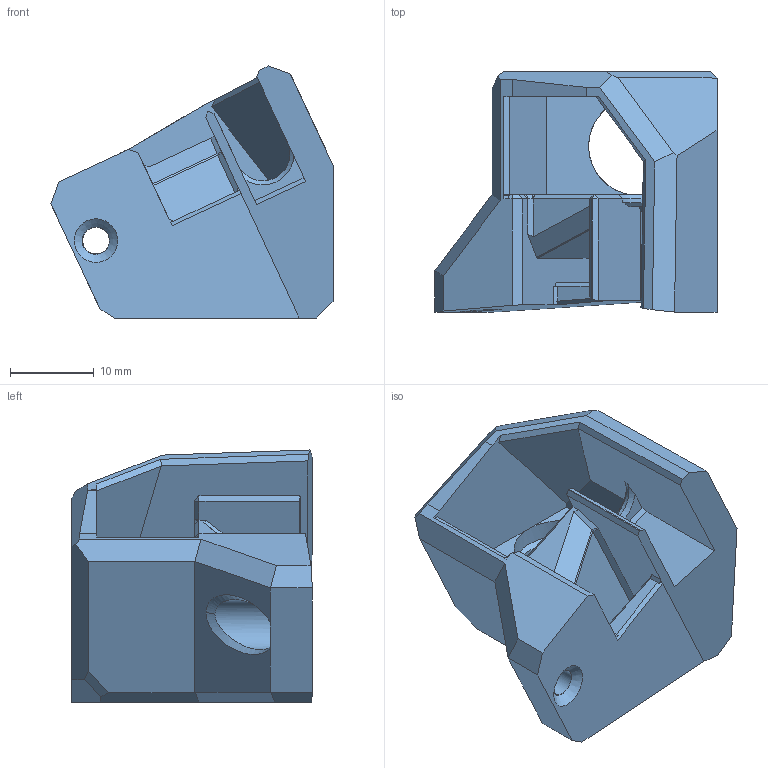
import cadquery as cq
import math

TILT = 25.0
SIN = math.sin(math.radians(TILT))
COS = math.cos(math.radians(TILT))
UP = (SIN, 0, COS)
DOWN = (-SIN, 0, -COS)
EAST = (COS, 0, -SIN)
FAR = 120.0
LOW = -25.0
HIGH = 25.0

DEPTH = 28.75
EAR_X = 5.78
EAR_DEPTH = 5.0
LEFT_X = 13.3
RIGHT_X = 38.28
SIDE_X = 33.72
STEP_Y = 14.04
DECK = 14.35
EDGE = 2.0
CORNER_EDGE = 1.7
FOOT_EDGE = 1.22
BACK_EDGE = 0.75
BACK_TOP_EDGE = 0.95
FOOT_NORMAL = (-0.73, 0.52, -0.45)
FOOT_CORNER_Z = -4.2
SMALL = 0.5

VALLEY_X = 26.9
VALLEY_Y = 1.57
LEFT_SLOPE = VALLEY_Y / (VALLEY_X - EAR_X)
RIGHT_SLOPE = VALLEY_Y / (RIGHT_X - VALLEY_X)

SLOPE_X = 16.9
BACK_RIM_X = 27.1
RIM_FRONT = 16.32
RIM_FALL = 0.038
BACK_RIM = 15.3
RIM_FLARE = 0.6

WALL = 3.0
CHAMBER_X = LEFT_X + WALL
CHAMBER_Y = DEPTH - WALL
INNER_RIGHT_X = 34.5
INNER_SIDE_X = 30.6
CHAMBER_FLOOR = 10.05
CORNER_TURN = 40.0
CORNER_LEAN = 0.269
OUTER_CORNER_Y = 18.7
INNER_CORNER_Y = 18.04
OUTER_CORNER = (RIGHT_X, OUTER_CORNER_Y, RIM_FRONT - RIM_FALL * OUTER_CORNER_Y - EDGE)
INNER_CORNER = (INNER_RIGHT_X, INNER_CORNER_Y, RIM_FRONT - RIM_FALL * INNER_CORNER_Y - RIM_FLARE)

CHANNEL_X = 17.8
RIB_X = VALLEY_X
RIB_WIDTH = 1.1
RIB_TOP = 14.4
POCKET_X = RIB_X + RIB_WIDTH
POCKET_FLOOR = 1.9
SADDLE_Y = 12.6
SADDLE_R = (INNER_RIGHT_X - POCKET_X) / 2
SADDLE_X = POCKET_X + SADDLE_R
SADDLE_Z = 7.1
LIP_TOP = 4.3
LIP_BACK = 3.6
LIP_EDGE = 0.4
BLOCK_TOP = 11.4
BLOCK_EDGE = 2.1
BLOCK_BREAK = 0.12
BLOCK_Y = 6.45
BLOCK_TURN = 26.0
FILLER_X = 26.27

SCREW_X, SCREW_Z = 8.8, 6.1
SCREW_D = 3.2
SCREW_HEAD_D = 5.2
SCREW_BORE_D = 6.0
SCREW_BORE_EDGE = 0.6
NOZZLE_D = 11.75
GROOVE_TOP = 7.8
GROOVE_HEIGHT = 1.0
GROOVE_DEPTH = 1.9
NOZZLE_X, NOZZLE_Y = 24.25, 19.85


def unit(v):
    size = math.sqrt(sum(c * c for c in v))
    return tuple(c / size for c in v)


def between(a, b):
    """Normal of an equal-leg chamfer between faces with normals a and b."""
    return unit([p + q for p, q in zip(unit(a), unit(b))])


def opposite(v):
    return tuple(-c for c in v)


def beyond(point, normal):
    """Everything on the side of a plane that its normal points to."""
    return cq.Workplane(cq.Plane(origin=point, normal=normal)).rect(2 * FAR, 2 * FAR).extrude(FAR)


def box(x0, x1, y0, y1, z0, z1):
    return cq.Workplane("XY").box(x1 - x0, y1 - y0, z1 - z0, centered=False).translate((x0, y0, z0))


def along_y(points, y0, y1):
    """Prism of an x-z outline from y0 to y1."""
    return cq.Workplane("XZ", origin=(0, y0, 0)).polyline(points).close().extrude(y0 - y1)


def along_z(points, z0, z1):
    """Prism of an x-y outline from z0 to z1."""
    return cq.Workplane("XY", origin=(0, 0, z0)).polyline(points).close().extrude(z1 - z0)


def along_x(points, x0, x1):
    """Prism of a y-z outline from x0 to x1."""
    return cq.Workplane("YZ", origin=(x0, 0, 0)).polyline(points).close().extrude(x1 - x0)


def left_front_y(x):
    return VALLEY_Y - LEFT_SLOPE * (VALLEY_X - x)


def right_front_y(x):
    return VALLEY_Y - RIGHT_SLOPE * (x - VALLEY_X)


turn = math.radians(CORNER_TURN)
CORNER_OUT = unit((math.cos(turn), math.sin(turn), CORNER_LEAN * math.sin(turn)))
CORNER_IN = opposite(CORNER_OUT)
RIM_UP = unit((0, RIM_FALL, 1))


def left_edges(z0, z1):
    """Selects the edges along the left side, short of the back corner, between two heights."""
    return cq.selectors.BoxSelector((0, -EDGE, z0), (LEFT_X + SMALL, DEPTH - EDGE, z1))


def outer_body():
    plan = [
        (EAR_X, -EDGE),
        (EAR_X, EAR_DEPTH),
        (LEFT_X, STEP_Y),
        (LEFT_X, DEPTH - EDGE),
        (LEFT_X + EDGE, DEPTH),
        (RIGHT_X, DEPTH),
        (RIGHT_X, -EDGE),
    ]
    body = along_z(plan, LOW, DECK)
    body = body.edges(left_edges(DECK - SMALL, DECK + SMALL)).chamfer(EDGE)
    body = body.cut(beyond((0, 0, 0), DOWN))
    across_bottom = cq.selectors.PerpendicularDirSelector(cq.Vector(*UP))
    return body.edges(across_bottom).edges(left_edges(LOW, 0)).chamfer(FOOT_EDGE)


def rim():
    plan = [(SLOPE_X, -EDGE), (SLOPE_X, DEPTH), (RIGHT_X, DEPTH), (RIGHT_X, -EDGE)]
    raised = along_z(plan, DECK - 2 * EDGE, HIGH)
    climb = [(SLOPE_X, DECK), (BACK_RIM_X, BACK_RIM), (BACK_RIM_X, HIGH), (SLOPE_X, HIGH)]
    raised = raised.cut(along_y(climb, -EDGE, DEPTH))
    return raised.cut(beyond((0, 0, RIM_FRONT), RIM_UP))


def bevel_outside(body):
    body = body.cut(beyond(OUTER_CORNER, CORNER_OUT))
    body = body.cut(beyond((SIDE_X * COS, 0, -SIDE_X * SIN), EAST))
    body = body.cut(beyond((RIGHT_X, 0, RIM_FRONT - EDGE), between((1, 0, 0), RIM_UP)))
    corner_top = (RIGHT_X, OUTER_CORNER_Y, OUTER_CORNER[2] + EDGE - CORNER_EDGE)
    body = body.cut(beyond(corner_top, between(CORNER_OUT, RIM_UP)))
    body = body.cut(beyond((0, DEPTH, DECK - BACK_TOP_EDGE), between((0, 1, 0), (0, 0, 1))))
    corner_back_x = RIGHT_X - (DEPTH - BACK_EDGE - OUTER_CORNER_Y) * math.tan(turn)
    corner_back = (corner_back_x, DEPTH - BACK_EDGE, OUTER_CORNER[2])
    body = body.cut(beyond(corner_back, between(CORNER_OUT, (0, 1, 0))))
    side_back = (SIDE_X * COS, DEPTH - BACK_EDGE, -SIDE_X * SIN)
    body = body.cut(beyond(side_back, between(EAST, (0, 1, 0))))
    side_foot = (SIDE_X * COS + EDGE * SIN, 0, -SIDE_X * SIN + EDGE * COS)
    body = body.cut(beyond(side_foot, between(EAST, DOWN)))
    body = body.cut(beyond((LEFT_X + EDGE, DEPTH, FOOT_CORNER_Z), FOOT_NORMAL))
    foot_bevel = (LEFT_X, DEPTH - EDGE, FOOT_CORNER_Z + EDGE)
    behind_ear = box(0, RIGHT_X, STEP_Y, DEPTH, LOW, HIGH)
    return body.cut(beyond(foot_bevel, between((-1, 0, 0), FOOT_NORMAL)).intersect(behind_ear))


def cut_front_panel(body):
    left, right = 0, RIGHT_X + EDGE
    outside = -3 * EDGE
    plan = [
        (left, left_front_y(left)),
        (VALLEY_X, VALLEY_Y),
        (right, right_front_y(right)),
        (right, outside),
        (left, outside),
    ]
    return body.cut(along_z(plan, LOW, HIGH))


def chamber():
    space = box(CHAMBER_X, RIGHT_X, STEP_Y, CHAMBER_Y, LOW, HIGH)
    space = space.intersect(beyond(INNER_CORNER, CORNER_IN))
    space = space.cut(beyond((CHAMBER_FLOOR * SIN, 0, CHAMBER_FLOOR * COS), DOWN))
    space = space.cut(beyond((INNER_SIDE_X * COS, 0, -INNER_SIDE_X * SIN), EAST))
    return space.cut(beyond((INNER_RIGHT_X, 0, 0), (1, 0, 0)))


def rim_flare():
    """Widens the opening at the rim along the right wall and the corner wall."""
    flare = box(BACK_RIM_X, RIGHT_X, -EDGE, CHAMBER_Y, RIB_TOP, HIGH)
    flare = flare.intersect(beyond(INNER_CORNER, between((-1, 0, 0), RIM_UP)))
    return flare.intersect(beyond(INNER_CORNER, between(CORNER_IN, RIM_UP)))


def left_wall_bevel():
    outline = [
        (CHAMBER_X - SMALL, DECK),
        (CHAMBER_X, DECK - SMALL),
        (CHAMBER_X, HIGH),
        (CHAMBER_X - SMALL, HIGH),
    ]
    return along_y(outline, STEP_Y - SMALL, CHAMBER_Y)


def opening_outline():
    """Open area above the left wall, the block, the rib and the saddle."""
    return (
        cq.Workplane("XZ", origin=(0, STEP_Y - SMALL, 0))
        .moveTo(CHAMBER_X, HIGH)
        .lineTo(CHAMBER_X, DECK)
        .lineTo(SLOPE_X, DECK)
        .lineTo(CHANNEL_X, DECK - (CHANNEL_X - SLOPE_X))
        .lineTo(CHANNEL_X, BLOCK_TOP + SMALL)
        .lineTo(CHANNEL_X + SMALL, BLOCK_TOP)
        .lineTo(RIB_X, BLOCK_TOP)
        .lineTo(RIB_X, RIB_TOP - SMALL)
        .lineTo(RIB_X + SMALL, RIB_TOP)
        .lineTo(POCKET_X - SMALL, RIB_TOP)
        .lineTo(POCKET_X, RIB_TOP - SMALL)
        .lineTo(POCKET_X, SADDLE_Z)
        .threePointArc((SADDLE_X, SADDLE_Z - SADDLE_R), (INNER_RIGHT_X, SADDLE_Z))
        .lineTo(INNER_RIGHT_X, HIGH)
        .close()
    )


def front_opening():
    """Opening in front of the chamber, flared where it enters the chamber."""
    opening = opening_outline().extrude(STEP_Y - SMALL + EDGE)
    flare = opening_outline().extrude(-SMALL, taper=-45)
    return opening.union(flare.cut(beyond((INNER_RIGHT_X, 0, 0), (1, 0, 0))))


def block():
    """Skewed block behind the channel, with a corner filler against the rib."""
    turn_in = math.radians(BLOCK_TURN)
    front = (math.sin(turn_in), -math.cos(turn_in), 0)
    filler = between(front, (-1, 0, 0))
    filler_y = BLOCK_Y + (FILLER_X - CHANNEL_X) * math.tan(turn_in)
    bevel_z = BLOCK_TOP - BLOCK_EDGE
    solids = []
    faces = (
        (front, (CHANNEL_X, BLOCK_Y, bevel_z)),
        (filler, (FILLER_X, filler_y, bevel_z)),
    )
    for normal, point in faces:
        body = beyond(point, opposite(normal))
        bevel = between(normal, (0, 0, 1))
        below = (point[0], point[1], bevel_z - BLOCK_BREAK)
        solids.append(body.cut(beyond(point, bevel)).cut(beyond(below, between(normal, bevel))))
    return solids[0].union(solids[1])


def lip():
    profile = [
        (-EDGE, LOW),
        (-EDGE, LIP_TOP),
        (LIP_BACK - SMALL, LIP_TOP),
        (LIP_BACK, LIP_TOP - SMALL),
        (LIP_BACK, LOW),
    ]
    body = along_x(profile, CHANNEL_X, RIB_X)
    front_edge = (CHANNEL_X, left_front_y(CHANNEL_X), LIP_TOP - LIP_EDGE)
    body = body.cut(beyond(front_edge, between((LEFT_SLOPE, -1, 0), (0, 0, 1))))
    for wall_x, inward in ((CHANNEL_X, LIP_EDGE), (RIB_X, -LIP_EDGE)):
        corner = [(wall_x, LIP_TOP), (wall_x + inward, LIP_TOP), (wall_x, LIP_TOP + LIP_EDGE)]
        body = body.union(along_y(corner, -EDGE, LIP_BACK - SMALL))
    return body


def channel():
    space = box(CHANNEL_X, RIB_X, -EDGE, STEP_Y - SMALL, LOW, BLOCK_TOP + SMALL)
    return space.cut(block()).cut(lip())


def pocket():
    profile = [
        (-EDGE, POCKET_FLOOR),
        (SADDLE_Y - SMALL, POCKET_FLOOR),
        (SADDLE_Y, POCKET_FLOOR + SMALL),
        (SADDLE_Y, RIB_TOP - SMALL),
        (-EDGE, RIB_TOP - SMALL),
    ]
    space = along_x(profile, POCKET_X, INNER_RIGHT_X)
    saddle_edge = (
        cq.Workplane("XZ", origin=(SADDLE_X, SADDLE_Y, SADDLE_Z))
        .circle(SADDLE_R + SMALL)
        .extrude(-(SADDLE_R + SMALL), taper=45)
    )
    return space.union(saddle_edge.intersect(box(POCKET_X, INNER_RIGHT_X, 0, STEP_Y, LOW, HIGH)))


def screw_hole():
    def round_bar(diameter, y0, y1):
        return cq.Workplane("XZ", origin=(SCREW_X, y0, SCREW_Z)).circle(diameter / 2).extrude(y0 - y1)

    head_y = left_front_y(SCREW_X)
    head_plane = cq.Plane((SCREW_X, head_y, SCREW_Z), normal=unit((-LEFT_SLOPE, 1, 0)))
    head_depth = (SCREW_HEAD_D - SCREW_D) / 2
    head = cq.Workplane(head_plane).circle(SCREW_HEAD_D / 2).extrude(head_depth, taper=45)
    return round_bar(SCREW_D, -EDGE, STEP_Y).union(head)


def screw_bore():
    """Clearance bore for the screw from the ear's sloping flank, with a chamfered mouth."""
    flank = unit((EAR_DEPTH - STEP_Y, LEFT_X - EAR_X, 0))
    flank_block = beyond((EAR_X, EAR_DEPTH, 0), opposite(flank))
    bore = cq.Workplane("XZ", origin=(SCREW_X, FAR, SCREW_Z)).circle(SCREW_BORE_D / 2).extrude(2 * FAR)
    drilled = flank_block.cut(bore)
    mouth = cq.selectors.BoxSelector(
        (0, -STEP_Y, 0), (CHANNEL_X, DEPTH, DECK), boundingbox=True
    )
    drilled = drilled.edges(mouth).chamfer(SCREW_BORE_EDGE)
    behind = box(0, CHANNEL_X, EAR_DEPTH, STEP_Y, 0, DECK)
    return behind.cut(drilled)


def nozzle_hole():
    """Vertical hole with a conical groove in its wall."""
    base = (NOZZLE_X * COS, NOZZLE_Y, -NOZZLE_X * SIN)
    upright = cq.Plane(base, xDir=EAST, normal=UP)
    hole = cq.Workplane(upright).circle(NOZZLE_D / 2).extrude(CHAMBER_FLOOR + SMALL)
    groove_r = NOZZLE_D / 2 + GROOVE_DEPTH
    profile = [
        (0, GROOVE_TOP - GROOVE_HEIGHT),
        (NOZZLE_D / 2, GROOVE_TOP - GROOVE_HEIGHT),
        (groove_r, GROOVE_TOP),
        (0, GROOVE_TOP),
    ]
    sideways = cq.Workplane(upright).transformed(rotate=(90, 0, 0))
    groove = sideways.polyline(profile).close().revolve(360, (0, 0, 0), (0, 1, 0))
    return hole.union(groove)


result = outer_body().union(rim())
result = bevel_outside(result)
result = cut_front_panel(result)
for space in (
    chamber(),
    rim_flare(),
    left_wall_bevel(),
    front_opening(),
    channel(),
    pocket(),
    screw_hole(),
    screw_bore(),
    nozzle_hole(),
):
    result = result.cut(space)
result = result.rotate((0, 0, 0), (0, 1, 0), -TILT)